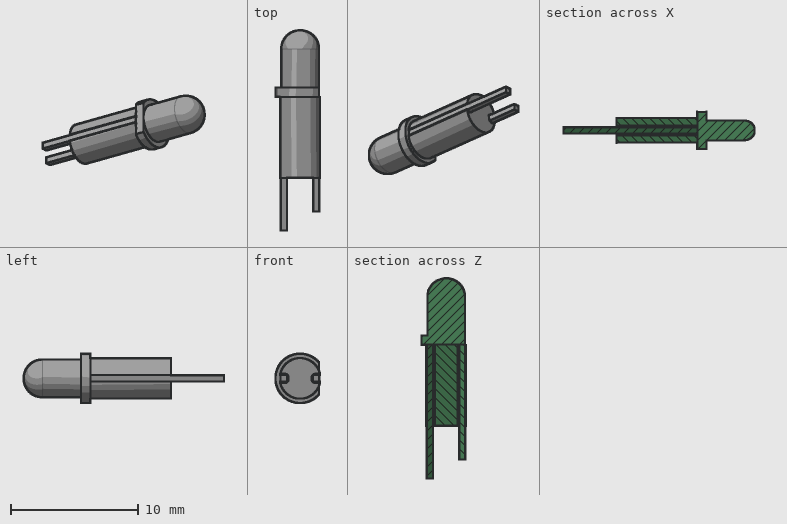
import cadquery as cq


lens_diameter = 3.0
lens_radius = lens_diameter / 2
lens_straight_length = 3.0
flange_diameter = 3.9
flange_thickness = 0.75
flange_flat_x = lens_radius

spacer_diameter = 3.2
spacer_length = 6.35
lead_hole_diameter = 0.75

lead_pitch = 2.54
lead_width = 0.5
anode_exposed_length = 4.15
cathode_shortening = 1.5
cathode_exposed_length = anode_exposed_length - cathode_shortening
anode_x = -lead_pitch / 2
cathode_x = lead_pitch / 2


def make_led():
    """Domed lens and its flange, with a flat on the cathode side of the flange."""
    dome_start_y = flange_thickness + lens_straight_length
    lens = (
        cq.Workplane("XY")
        .lineTo(lens_radius, 0)
        .lineTo(lens_radius, dome_start_y)
        .radiusArc((0, dome_start_y + lens_radius), -lens_radius)
        .close()
        .revolve(360, (0, 0, 0), (0, 1, 0))
    )
    flange = cq.Workplane("XZ").circle(flange_diameter / 2).extrude(-flange_thickness)
    beyond_flat = cq.Workplane("XY").box(
        flange_diameter, flange_thickness, flange_diameter, centered=(False, False, True)
    ).translate((flange_flat_x, 0, 0))
    return lens.union(flange.cut(beyond_flat))


def make_lead_channel(lead_x):
    """Round lead hole along the spacer, opened to the outside by a slot as wide as the lead."""
    hole = (
        cq.Workplane("XZ")
        .center(lead_x, 0)
        .circle(lead_hole_diameter / 2)
        .extrude(spacer_length)
    )
    outward = 1 if lead_x > 0 else -1
    slot_length = spacer_diameter / 2
    slot = (
        cq.Workplane("XZ")
        .center(lead_x + outward * slot_length / 2, 0)
        .rect(slot_length, lead_width)
        .extrude(spacer_length)
    )
    return hole.union(slot)


def make_spacer():
    """Cylindrical spacer with one open channel per lead."""
    spacer = cq.Workplane("XZ").circle(spacer_diameter / 2).extrude(spacer_length)
    for lead_x in (anode_x, cathode_x):
        spacer = spacer.cut(make_lead_channel(lead_x))
    return spacer


def make_lead(lead_x, exposed_length):
    """Square lead running from the flange through the spacer and out of its end."""
    return (
        cq.Workplane("XZ")
        .center(lead_x, 0)
        .rect(lead_width, lead_width)
        .extrude(spacer_length + exposed_length)
    )


led = make_led()
spacer = make_spacer()
leads = [
    make_lead(lead_x, exposed_length)
    for lead_x, exposed_length in (
        (anode_x, anode_exposed_length),
        (cathode_x, cathode_exposed_length),
    )
]

result = cq.Compound.makeCompound([led.val(), spacer.val(), *[lead.val() for lead in leads]])